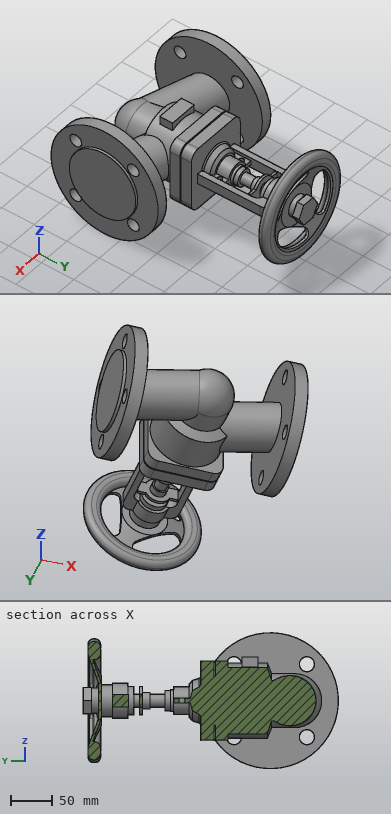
import cadquery as cq
import math


overall_length = 309.5
face_to_face = 230.0
flange_diameter = 165.0
flange_radius = flange_diameter / 2
flange_thickness = 16.7
raised_face_radius = 51.0
raised_face_height = 4.0
bolt_circle_radius = 62.5
bolt_hole_radius = 9.0
bolt_count = 4
flange_outer_x = face_to_face / 2 - raised_face_height
flange_inner_x = flange_outer_x - flange_thickness

pipe_radius = 30.5
pipe_offset = 30.0
pipe_embed = 10.0

elbow_radius = 32.8
elbow_centre_y = -29.5
cone_bottom_y = -1.5
body_bottom_y = 3.7
body_radius = 45.8

joint_width = 96.2
joint_corner_radius = 13.5
body_flange_bottom_y = 51.5
gasket_bottom_y = 66.8
gasket_top_y = 68.5
gasket_radius = 36.8
bonnet_flange_top_y = 84.5

block_width = 42.5
block_bottom_y = 15.0
block_top_y = 34.5
block_height_z = 53.0

dome_base_radius = 29.0
dome_wall_radius = 27.2
dome_wall_bottom_y = 86.3
dome_shoulder_radius = 24.7
dome_shoulder_y = 94.5
dome_top_radius = 20.0
dome_top_y = 98.5
gland_radius = 17.0
gland_top_y = 117.2
gland_collar_radius = 13.3
gland_collar_top_y = 121.3
stem_nut_radius = 12.5
stem_nut_top_y = 127.8
stem_radius = 8.0
stem_collar_radius = 10.2
stem_collar_bottom_y = 145.7

indicator_bottom_y = 155.0
indicator_top_y = 158.7
indicator_radius = 17.3
indicator_length = 51.5
indicator_tab_width = 16.0

bushing_bottom_y = 165.5
bushing_radius = 17.3
yoke_boss_bottom_y = 172.5
yoke_boss_radius = 21.3
yoke_top_y = 191.5
yoke_width = 71.5
yoke_thickness = 15.5
yoke_opening_width = 54.5
yoke_outer_corner = 11.5
yoke_inner_corner = 9.5
web_thickness = 6.2
web_hole_radius = 3.5
web_hole_x = 21.3
web_hole_y = 107.3

hub_radius = 19.5
wheel_disc_radius = 29.5
wheel_disc_bottom_y = 204.5
wheel_shell_thickness = 4.0
spoke_outer_y = 216.2
spoke_embed = 3.0
hub_core_radius = 15.5
rim_outer_radius = 75.2
rim_inner_radius = 53.8
rim_thickness = 15.8
rim_mid_y = 213.5
rim_corner_radius = 7.5
window_chord_distance = 29.5
window_corner_radius = 7.7
window_count = 3
nut_bottom_y = 216.5
nut_top_y = overall_length - flange_radius
nut_across_flats = 32.2
nut_turn = 30


def cylinder(radius, bottom_y, top_y):
    """Round bar about the stem axis."""
    base = cq.Workplane("XZ", origin=(0, bottom_y, 0))
    return base.circle(radius).extrude(bottom_y - top_y)


def plate(width, depth, bottom_y, top_y):
    """Rectangular plate square to the stem axis."""
    base = cq.Workplane("XZ", origin=(0, bottom_y, 0))
    return base.rect(width, depth).extrude(bottom_y - top_y)


def turned(profile):
    """Revolve an XY outline about the stem axis."""
    return profile.revolve(360, (0, 0, 0), (0, 1, 0))


def pipe_flange(side):
    """Drilled flange with raised face; side is -1 for left, +1 for right."""
    inner_face = cq.Workplane("YZ", origin=(side * flange_inner_x, 0, 0))
    outer_face = cq.Workplane("YZ", origin=(side * flange_outer_x, 0, 0))
    flange = inner_face.circle(flange_radius).extrude(side * flange_thickness)
    flange = flange.union(outer_face.circle(raised_face_radius).extrude(side * raised_face_height))
    holes = (
        inner_face.polarArray(bolt_circle_radius, 180 / bolt_count, 360, bolt_count)
        .circle(bolt_hole_radius)
        .extrude(side * flange_thickness)
    )
    return flange.cut(holes)


def inclined_pipe(side):
    """Pipe from the stem axis down (left) or up (right) to its flange."""
    slope = pipe_offset / flange_inner_x
    reach_x = flange_inner_x + pipe_embed
    start = cq.Vector(0, side * pipe_offset, 0)
    direction = cq.Vector(side, -slope * side, 0)
    length = reach_x * math.hypot(1, slope)
    return cq.Workplane(cq.Solid.makeCylinder(pipe_radius, length, start, direction))


def valve_body():
    """Body barrel, its cone, the neck and the spherical elbow."""
    outline = (
        cq.Workplane("XY")
        .moveTo(0, elbow_centre_y - elbow_radius)
        .radiusArc((elbow_radius, elbow_centre_y), -elbow_radius)
        .lineTo(elbow_radius, cone_bottom_y)
        .lineTo(body_radius, body_bottom_y)
        .lineTo(body_radius, body_flange_bottom_y)
        .lineTo(0, body_flange_bottom_y)
        .close()
    )
    block_mid_y = (block_bottom_y + block_top_y) / 2
    block = (
        cq.Workplane("XY", origin=(0, block_mid_y, 0))
        .rect(block_width, block_top_y - block_bottom_y)
        .extrude(block_height_z)
    )
    return turned(outline).union(block)


def joint_flange(bottom_y, top_y):
    """Square flange with rounded corners."""
    return plate(joint_width, joint_width, bottom_y, top_y).edges("|Y").fillet(joint_corner_radius)


def bonnet_joint():
    """Body flange, gasket and bonnet flange."""
    return (
        joint_flange(body_flange_bottom_y, gasket_bottom_y)
        .union(cylinder(gasket_radius, gasket_bottom_y, gasket_top_y))
        .union(joint_flange(gasket_top_y, bonnet_flange_top_y))
    )


def bonnet_dome():
    """Rounded dome carrying the gland."""
    outline = (
        cq.Workplane("XY")
        .moveTo(0, bonnet_flange_top_y)
        .lineTo(dome_base_radius, bonnet_flange_top_y)
        .lineTo(dome_wall_radius, dome_wall_bottom_y)
        .lineTo(dome_shoulder_radius, dome_shoulder_y)
        .lineTo(dome_top_radius, dome_top_y)
        .lineTo(0, dome_top_y)
        .close()
    )
    return turned(outline)


def stem():
    """Gland, stem with its collars, and the travel indicator."""
    indicator = cylinder(indicator_radius, indicator_bottom_y, indicator_top_y).union(
        plate(indicator_length, indicator_tab_width, indicator_bottom_y, indicator_top_y)
    )
    return (
        cylinder(gland_radius, dome_top_y, gland_top_y)
        .union(cylinder(gland_collar_radius, gland_top_y, gland_collar_top_y))
        .union(cylinder(stem_nut_radius, gland_collar_top_y, stem_nut_top_y))
        .union(cylinder(stem_radius, stem_nut_top_y, bushing_bottom_y))
        .union(cylinder(stem_collar_radius, stem_collar_bottom_y, indicator_bottom_y))
        .union(indicator)
    )


def yoke():
    """Arched yoke with drilled lower web, top boss and bushing."""
    arch = plate(yoke_width, yoke_thickness, bonnet_flange_top_y, yoke_top_y)
    arch = arch.edges("|Z and >Y").fillet(yoke_outer_corner)
    opening = plate(yoke_opening_width, yoke_thickness, bonnet_flange_top_y, yoke_boss_bottom_y)
    opening = opening.edges("|Z and >Y").fillet(yoke_inner_corner)
    web = plate(yoke_opening_width, web_thickness, bonnet_flange_top_y, gland_top_y)
    web_holes = (
        cq.Workplane("XY")
        .pushPoints([(-web_hole_x, web_hole_y), (web_hole_x, web_hole_y)])
        .circle(web_hole_radius)
        .extrude(web_thickness, both=True)
    )
    return (
        arch.cut(opening)
        .union(web.cut(web_holes))
        .union(cylinder(yoke_boss_radius, yoke_boss_bottom_y, yoke_top_y))
        .union(cylinder(bushing_radius, bushing_bottom_y, yoke_boss_bottom_y))
    )


def wheel_rim():
    """Ring of rectangular section with its edges well rounded."""
    bottom_y = rim_mid_y - rim_thickness / 2
    top_y = rim_mid_y + rim_thickness / 2
    ring = cylinder(rim_outer_radius, bottom_y, top_y).cut(cylinder(rim_inner_radius, bottom_y, top_y))
    return ring.faces("<Y or >Y").edges().fillet(rim_corner_radius)


def wheel_spider():
    """Dished shell whose rounded windows leave the spokes."""
    spoke_outer_radius = rim_inner_radius + spoke_embed
    outline = (
        cq.Workplane("XY")
        .moveTo(0, wheel_disc_bottom_y)
        .lineTo(wheel_disc_radius, wheel_disc_bottom_y)
        .lineTo(spoke_outer_radius, spoke_outer_y)
        .lineTo(spoke_outer_radius, spoke_outer_y + wheel_shell_thickness)
        .lineTo(wheel_disc_radius, wheel_disc_bottom_y + wheel_shell_thickness)
        .lineTo(0, wheel_disc_bottom_y + wheel_shell_thickness)
        .close()
    )
    spider = turned(outline)
    chord_half = math.sqrt(rim_inner_radius**2 - window_chord_distance**2)
    window = (
        cq.Workplane("XZ", origin=(0, wheel_disc_bottom_y, 0))
        .moveTo(-window_chord_distance, -chord_half)
        .threePointArc((-rim_inner_radius, 0), (-window_chord_distance, chord_half))
        .close()
        .extrude(wheel_disc_bottom_y - nut_top_y)
        .edges("|Y")
        .fillet(window_corner_radius)
    )
    for index in range(window_count):
        spider = spider.cut(window.rotate((0, 0, 0), (0, 1, 0), index * 360 / window_count))
    return spider


def handwheel():
    """Hub, spider, rim and the hexagon nut on top."""
    nut = (
        cq.Workplane("XZ", origin=(0, nut_bottom_y, 0))
        .polygon(6, nut_across_flats, circumscribed=True)
        .extrude(nut_bottom_y - nut_top_y)
        .rotate((0, 0, 0), (0, 1, 0), nut_turn)
    )
    return (
        cylinder(hub_radius, yoke_top_y, wheel_disc_bottom_y)
        .union(wheel_spider())
        .union(cylinder(hub_core_radius, wheel_disc_bottom_y, nut_bottom_y))
        .union(wheel_rim())
        .union(nut)
    )


result = valve_body()
for side in (-1, 1):
    result = result.union(inclined_pipe(side)).union(pipe_flange(side))
result = (
    result.union(bonnet_joint())
    .union(bonnet_dome())
    .union(stem())
    .union(yoke())
    .union(handwheel())
)